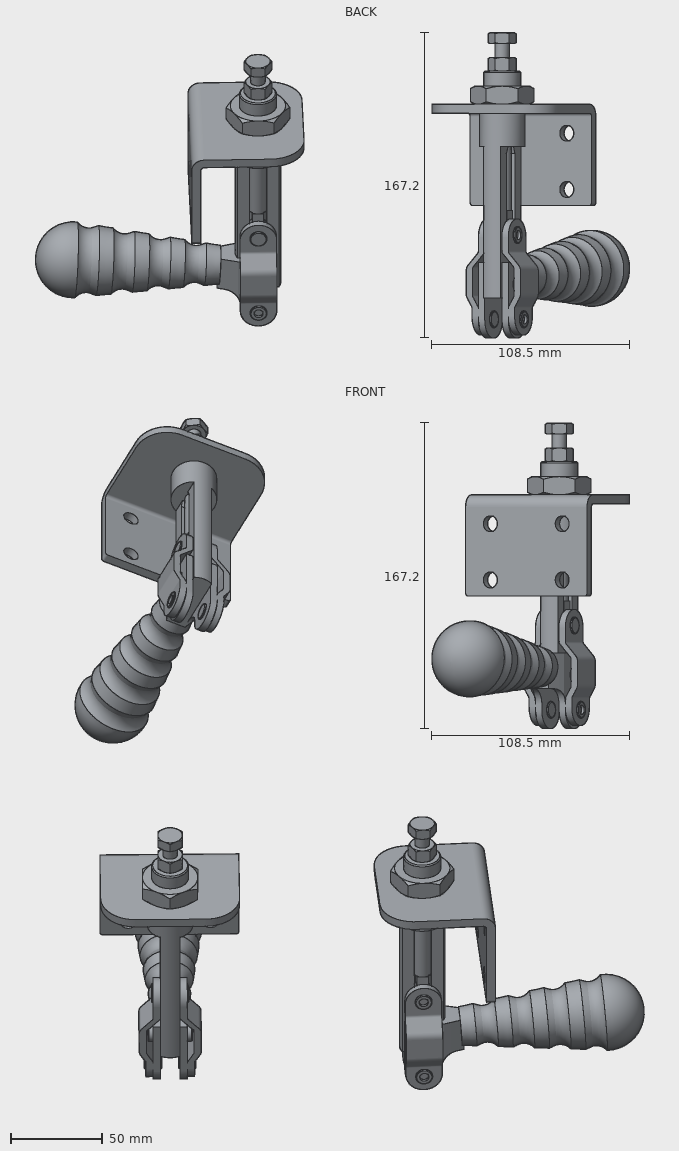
import cadquery as cq
import math

TURN_ANGLE = -29.0

SHEET = 5.0
BRACKET_WIDTH = 76.1
PLATE_BACK = 24.8
FLANGE_FRONT = -37.3
FLANGE_BOTTOM = -55.5
BEND_RADIUS = 6.9
PLATE_CORNER = 18.7
FLANGE_CORNER = 1.7
MOUNT_HOLE_DIAMETER = 8.7
MOUNT_HOLE_SPACING_X = 45.0
MOUNT_HOLE_SPACING_Z = 30.8
MOUNT_HOLE_CENTER_Z = -31.3

BIG_NUT_FLATS = 30.3
BIG_NUT_TOP = 9.9
COLLAR_DIAMETER = 20.4
COLLAR_TOP = 18.0
COLLAR_CHAMFER = 0.7
SMALL_HEX_FLATS = 13.4
LOCK_NUT_TOP = 25.6
HEAD_BOTTOM = 33.1
SPINDLE_TOP = 39.1
SPINDLE_DIAMETER = 8.0

BODY_DIAMETER = 25.1
BODY_HALF_FLAT = 5.4
FLATS_TOP = -23.2
BODY_BOTTOM = -106.2
SLOT_WIDTH = 9.4
SLOT_BOTTOM = -80.3
SLOT_CHAMFER_WIDTH = 1.5
SLOT_CHAMFER_HEIGHT = 3.7
PLUNGER_DIAMETER = 10.0
CROSSHEAD_TOP = -58.2
CROSSHEAD_WIDTH = 6.4
CROSSHEAD_HALF_LENGTH = 4.9

LINK_THICKNESS = 4.0
LINK_WIDTH = 20.0
LINK_END_RADIUS = LINK_WIDTH / 2
ARM_BOTTOM = -128.1
STRAP_TOP = -62.7
STRAP_BOTTOM = -126.5
UPPER_PIN_Z = -71.6
PIVOT_PIN_Z = -98.7
LOWER_PIN_Z = -117.8
ARM_OUTER = BODY_HALF_FLAT + LINK_THICKNESS
STRAP_UPPER_OUTER = ARM_OUTER
STRAP_LOWER_OUTER = ARM_OUTER + LINK_THICKNESS
STRAP_BULGE_OUTER = 17.0
UPPER_JOGGLE = (-81.1, -89.5)
LOWER_JOGGLE = (-105.0, -111.2)
BULGE_BEND_RADIUS = 5.0
JOGGLE_BEND_RADIUS = 2.0
PIN_DIAMETER = 9.4
PIN_PROUD = 0.8
PIN_CHAMFER = 0.5
UPPER_PIN_END = STRAP_UPPER_OUTER + PIN_PROUD
LOWER_PIN_END = STRAP_LOWER_OUTER + PIN_PROUD
PIN_SOCKET_DIAMETER = 5.0
PIN_SOCKET_DEPTH = 1.7
NECK_TOP = -86.6
NECK_BOTTOM = -106.2
NECK_SHOULDER_HALF_WIDTH = 8.2
NECK_FRONT_HALF_WIDTH = 5.7
NECK_TAPER_START = -11.0
NECK_TAPER_END = -14.9
NECK_FILLET = 8.4
NECK_OVERLAP = 1.7

GRIP_TILT = 3.4
GRIP_AXIS_Z = -95.8
GRIP_START = 20.9
RIB_COUNT = 4
RIB_PITCH = 19.7
RIB_LENGTH = 8.0
FIRST_RIB_RADIUS = 10.7
RIB_GROWTH = 2.5
RIB_TAPER = 1.0
RIB_BACK_LENGTH = 4.0
RIB_BACK_DROP = 1.42
GROOVE_SAG = 1.2
BALL_CENTER = 101.2
BALL_RADIUS = 20.9


def cylinder(diameter, bottom, top):
    return cq.Workplane("XY").workplane(offset=bottom).circle(diameter / 2).extrude(top - bottom)


def box(x_range, y_range, z_range):
    size = [high - low for low, high in (x_range, y_range, z_range)]
    return cq.Workplane("XY").box(*size, centered=False).translate((x_range[0], y_range[0], z_range[0]))


def cylinder_along_x(diameter, x_start, x_end, z):
    low, high = min(x_start, x_end), max(x_start, x_end)
    return cq.Workplane("YZ", origin=(low, 0, z)).circle(diameter / 2).extrude(high - low)


def hexagon(flats, bottom, top):
    """Hexagonal prism, chamfered at both ends, with two corners on X once the clamp is turned."""
    corners = flats / math.cos(math.pi / 6)
    chamfer_width = (corners - flats) / 2
    chamfer_height = chamfer_width * math.tan(math.pi / 6)
    prism = cq.Workplane("XY").workplane(offset=bottom).polygon(6, corners).extrude(top - bottom)
    turned = cylinder(corners, bottom, top).faces("<Z or >Z").chamfer(chamfer_height, chamfer_width)
    return prism.intersect(turned).rotate((0, 0, 0), (0, 0, 1), -TURN_ANGLE)


def bracket():
    depth = PLATE_BACK - FLANGE_FRONT
    inner_radius = BEND_RADIUS - SHEET
    section = (
        cq.Workplane("YZ", origin=(-BRACKET_WIDTH / 2, 0, 0))
        .moveTo(PLATE_BACK, 0)
        .hLine(BEND_RADIUS - depth)
        .radiusArc((FLANGE_FRONT, -BEND_RADIUS), -BEND_RADIUS)
        .vLineTo(FLANGE_BOTTOM)
        .hLine(SHEET)
        .vLineTo(-BEND_RADIUS)
        .radiusArc((FLANGE_FRONT + BEND_RADIUS, -SHEET), inner_radius)
        .hLineTo(PLATE_BACK)
        .close()
        .extrude(BRACKET_WIDTH)
    )
    section = section.faces(">Y").edges("|Z").fillet(PLATE_CORNER)
    section = section.faces("<Z").edges("|Y").fillet(FLANGE_CORNER)
    holes = (
        cq.Workplane("XZ", origin=(0, FLANGE_FRONT + SHEET, MOUNT_HOLE_CENTER_Z))
        .rarray(MOUNT_HOLE_SPACING_X, MOUNT_HOLE_SPACING_Z, 2, 2)
        .circle(MOUNT_HOLE_DIAMETER / 2)
        .extrude(SHEET)
    )
    return section.cut(holes)


def spindle():
    collar = cylinder(COLLAR_DIAMETER, 0, COLLAR_TOP).faces(">Z").chamfer(COLLAR_CHAMFER)
    crosshead = box(
        (-CROSSHEAD_HALF_LENGTH, CROSSHEAD_HALF_LENGTH),
        (-CROSSHEAD_WIDTH / 2, CROSSHEAD_WIDTH / 2),
        (SLOT_BOTTOM, CROSSHEAD_TOP),
    )
    return (
        cylinder(SPINDLE_DIAMETER, 0, SPINDLE_TOP)
        .union(cylinder(PLUNGER_DIAMETER, CROSSHEAD_TOP, 0))
        .union(crosshead)
        .union(hexagon(BIG_NUT_FLATS, 0, BIG_NUT_TOP))
        .union(collar)
        .union(hexagon(SMALL_HEX_FLATS, COLLAR_TOP, LOCK_NUT_TOP))
        .union(hexagon(SMALL_HEX_FLATS, HEAD_BOTTOM, SPINDLE_TOP))
    )


def guide_body():
    """Round guide with a flat on each side and a slot through both flats."""
    radius = BODY_DIAMETER / 2
    body = cylinder(BODY_DIAMETER, BODY_BOTTOM, -SHEET)
    for side in (-1, 1):
        x_range = sorted((side * BODY_HALF_FLAT, side * radius))
        body = body.cut(box(x_range, (-radius, radius), (BODY_BOTTOM, FLATS_TOP)))
    slot = box(
        (-BODY_HALF_FLAT, BODY_HALF_FLAT), (-SLOT_WIDTH / 2, SLOT_WIDTH / 2), (SLOT_BOTTOM, FLATS_TOP)
    )
    slot = slot.faces(">Z").edges("|X").chamfer(SLOT_CHAMFER_HEIGHT, SLOT_CHAMFER_WIDTH)
    return body.cut(slot)


def handle_fork():
    """Two arms beside the body, joined in front of it by the neck that carries the grip."""
    neck_front = -GRIP_START - NECK_OVERLAP
    profile = (
        cq.Workplane("YZ", origin=(-ARM_OUTER, 0, 0))
        .moveTo(LINK_END_RADIUS, NECK_TOP)
        .lineTo(LINK_END_RADIUS, ARM_BOTTOM + LINK_END_RADIUS)
        .threePointArc((0, ARM_BOTTOM), (-LINK_END_RADIUS, ARM_BOTTOM + LINK_END_RADIUS))
        .lineTo(-LINK_END_RADIUS, NECK_BOTTOM - NECK_FILLET)
        .radiusArc((-LINK_END_RADIUS - NECK_FILLET, NECK_BOTTOM), -NECK_FILLET)
        .lineTo(neck_front, NECK_BOTTOM)
        .lineTo(neck_front, NECK_TOP)
        .close()
        .extrude(2 * ARM_OUTER)
    )
    half_plan = [
        (ARM_OUTER, LINK_END_RADIUS),
        (ARM_OUTER, NECK_TAPER_START),
        (NECK_SHOULDER_HALF_WIDTH, NECK_TAPER_END),
        (NECK_FRONT_HALF_WIDTH, neck_front),
    ]
    mirrored = [(-x, y) for x, y in reversed(half_plan)]
    plan = (
        cq.Workplane("XY", origin=(0, 0, ARM_BOTTOM))
        .polyline(half_plan + mirrored)
        .close()
        .extrude(NECK_TOP - ARM_BOTTOM)
    )
    inside = BODY_HALF_FLAT
    gap = box((-inside, inside), (NECK_TAPER_START, LINK_END_RADIUS), (ARM_BOTTOM, NECK_TOP))
    under_neck = box((-inside, inside), (neck_front, NECK_TAPER_START), (ARM_BOTTOM, NECK_BOTTOM))
    return profile.intersect(plan).cut(gap).cut(under_neck)


def strap():
    """Strap on the +X side, bulged outwards to clear the pivot pin."""
    outer = [
        (STRAP_UPPER_OUTER, STRAP_TOP),
        (STRAP_UPPER_OUTER, UPPER_JOGGLE[0]),
        (STRAP_BULGE_OUTER, UPPER_JOGGLE[1]),
        (STRAP_BULGE_OUTER, LOWER_JOGGLE[0]),
        (STRAP_LOWER_OUTER, LOWER_JOGGLE[1]),
        (STRAP_LOWER_OUTER, STRAP_BOTTOM),
    ]
    inner = [(x - LINK_THICKNESS, z) for x, z in reversed(outer)]
    bent = (
        cq.Workplane("XZ", origin=(0, LINK_END_RADIUS, 0))
        .polyline(outer + inner)
        .close()
        .extrude(LINK_WIDTH)
    )
    bent = bent.faces(">X").edges("|Y").fillet(BULGE_BEND_RADIUS)
    reverse_bends = [
        (STRAP_UPPER_OUTER, UPPER_JOGGLE[0]),
        (STRAP_UPPER_OUTER - LINK_THICKNESS, UPPER_JOGGLE[0]),
        (STRAP_BULGE_OUTER - LINK_THICKNESS, UPPER_JOGGLE[1]),
        (STRAP_BULGE_OUTER - LINK_THICKNESS, LOWER_JOGGLE[0]),
        (STRAP_LOWER_OUTER, LOWER_JOGGLE[1]),
        (STRAP_LOWER_OUTER - LINK_THICKNESS, LOWER_JOGGLE[1]),
    ]
    for x, z in reverse_bends:
        bent = bent.edges(cq.selectors.NearestToPointSelector((x, 0, z))).fillet(JOGGLE_BEND_RADIUS)
    outline = (
        cq.Workplane("YZ", origin=(0, 0, (STRAP_TOP + STRAP_BOTTOM) / 2))
        .slot2D(STRAP_TOP - STRAP_BOTTOM, LINK_WIDTH, 90)
        .extrude(STRAP_BULGE_OUTER)
    )
    return bent.intersect(outline)


def pin(x_start, x_end, z):
    return cylinder_along_x(PIN_DIAMETER, x_start, x_end, z).faces("<X or >X").chamfer(PIN_CHAMFER)


def pins():
    lower_head = BODY_HALF_FLAT - PIN_PROUD
    pivot_end = STRAP_BULGE_OUTER - LINK_THICKNESS - PIN_PROUD
    solid = pin(-UPPER_PIN_END, UPPER_PIN_END, UPPER_PIN_Z)
    solid = solid.union(pin(-pivot_end, pivot_end, PIVOT_PIN_Z))
    for side in (-1, 1):
        solid = solid.union(pin(side * lower_head, side * LOWER_PIN_END, LOWER_PIN_Z))
    return solid


def pin_sockets():
    """Round recesses in the riveted pin ends."""
    upper_floor = UPPER_PIN_END - PIN_SOCKET_DEPTH
    sockets = cylinder_along_x(PIN_SOCKET_DIAMETER, -UPPER_PIN_END, -upper_floor, UPPER_PIN_Z)
    for side in (-1, 1):
        ends = (side * LOWER_PIN_END, side * (LOWER_PIN_END - PIN_SOCKET_DEPTH))
        sockets = sockets.union(cylinder_along_x(PIN_SOCKET_DIAMETER, *ends, LOWER_PIN_Z))
    return sockets


def grip():
    """Turned grip: tapered ribs, each with a sloped back and a round groove, ending in a ball."""
    tilt = math.radians(GRIP_TILT)
    axis_plane = cq.Plane(
        origin=(0, 0, GRIP_AXIS_Z), xDir=(0, -math.cos(tilt), math.sin(tilt)), normal=(1, 0, 0)
    )
    ball_start = GRIP_START + RIB_COUNT * RIB_PITCH
    ball_start_radius = math.sqrt(BALL_RADIUS**2 - (BALL_CENTER - ball_start) ** 2)
    profile = cq.Workplane(axis_plane).moveTo(GRIP_START, 0).lineTo(GRIP_START, FIRST_RIB_RADIUS)
    for rib in range(RIB_COUNT):
        rib_end = GRIP_START + rib * RIB_PITCH + RIB_LENGTH
        end_radius = FIRST_RIB_RADIUS + rib * RIB_GROWTH + RIB_TAPER
        next_start = GRIP_START + (rib + 1) * RIB_PITCH
        next_radius = FIRST_RIB_RADIUS + (rib + 1) * RIB_GROWTH
        if rib == RIB_COUNT - 1:
            next_radius = ball_start_radius
        groove_start = rib_end + RIB_BACK_LENGTH
        groove_radius = end_radius - RIB_BACK_DROP
        groove_middle = ((groove_start + next_start) / 2, (groove_radius + next_radius) / 2 - GROOVE_SAG)
        profile = (
            profile.lineTo(rib_end, end_radius)
            .lineTo(groove_start, groove_radius)
            .threePointArc(groove_middle, (next_start, next_radius))
        )
    ball_middle = BALL_RADIUS * math.sqrt(0.5)
    profile = profile.threePointArc(
        (BALL_CENTER + ball_middle, ball_middle), (BALL_CENTER + BALL_RADIUS, 0)
    ).close()
    return profile.revolve(360, (0, 0, 0), (1, 0, 0))


right_strap = strap()
clamp = bracket()
for piece in (
    guide_body(),
    spindle(),
    handle_fork(),
    right_strap,
    right_strap.mirror("YZ"),
    pins(),
    grip(),
):
    clamp = clamp.union(piece)
clamp = clamp.cut(pin_sockets())

result = clamp.rotate((0, 0, 0), (0, 0, 1), TURN_ANGLE)